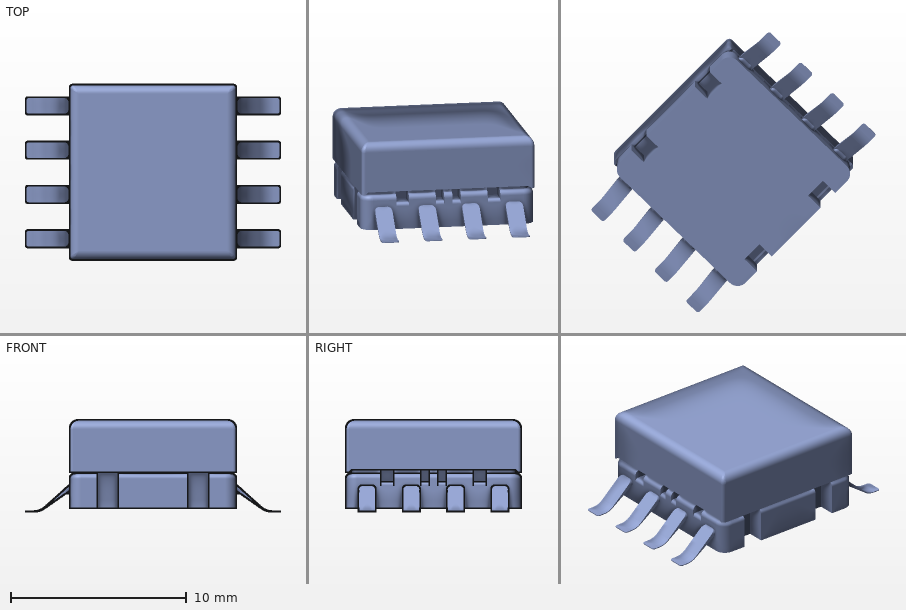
import cadquery as cq
import math

body_x = 9.5
body_y = 10.0

cap_top = 5.25
cap_bottom = 2.25
cap_top_radius = 0.52
cap_corner_radius = 0.2
cap_relief_top = 2.4
cap_relief_half_y = 4.65

base_bottom = 0.2
base_top = 2.2
base_corner_radius = 0.63
base_edge_radius = 0.3

recess_width = 1.2
recess_depth = 1.0
recess_center_x = 2.58

notches = [(0.48, 0.48), (2.64, 0.73)]
notch_floor = 1.73
notch_depth = 1.0
notch_lip_radius = 0.2

lead_count = 4
lead_pitch = 2.52
lead_width = 1.0
lead_tip_x = 7.25
lead_bend_x = 6.8
foot_thickness = 0.05
foot_corner_radius = 0.15
upper_bend_radius = 1.0
upper_angle = math.radians(42)
lower_bend_radius = 1.1
lower_angle = math.radians(35)
root_bottom = 1.03
root_top = 1.53
root_radius = (root_top - root_bottom) / 2

half_x = body_x / 2
half_y = body_y / 2


def block(x0, x1, y0, y1, z0, z1):
    """Axis-aligned box between two opposite corners."""
    return cq.Workplane("XY").box(x1 - x0, y1 - y0, z1 - z0, centered=False).translate((x0, y0, z0))


def both_x(shape):
    """A shape together with its mirror image on the other lead side."""
    return shape.union(shape.mirror("YZ"))


def make_cap():
    """Rounded cap whose underside is relieved along the lead sides."""
    cap = block(-half_x, half_x, -half_y, half_y, cap_bottom, cap_top)
    cap = cap.faces(">Z").edges().fillet(cap_top_radius)
    cap = cap.edges("|Z").fillet(cap_corner_radius)

    relief_foot_half_y = cap_relief_half_y + cap_relief_top - cap_bottom
    relief = (
        cq.Workplane("YZ")
        .polyline([
            (-relief_foot_half_y, cap_bottom),
            (relief_foot_half_y, cap_bottom),
            (cap_relief_half_y, cap_relief_top),
            (-cap_relief_half_y, cap_relief_top),
        ])
        .close()
        .extrude(half_x, both=True)
    )
    return cap.cut(relief)


def make_base():
    """Rounded base with a plain core that reaches up into the cap."""
    base = (
        cq.Workplane("XY", origin=(0, 0, base_bottom))
        .rect(body_x, body_y)
        .extrude(base_top - base_bottom)
        .edges("|Z")
        .fillet(base_corner_radius)
        .faces(">Z")
        .edges()
        .fillet(base_edge_radius)
    )
    core = (
        cq.Workplane("XY", origin=(0, 0, base_bottom))
        .rect(body_x - 2 * base_edge_radius, body_y - 2 * base_edge_radius)
        .extrude(cap_relief_top - base_bottom)
        .edges("|Z")
        .fillet(base_corner_radius - base_edge_radius)
    )
    return base.union(core)


def cut_recesses(base):
    """Cut two full-height recesses into each side without leads."""
    for center_x in (-recess_center_x, recess_center_x):
        x0 = center_x - recess_width / 2
        x1 = center_x + recess_width / 2
        base = base.cut(block(x0, x1, -half_y, recess_depth - half_y, base_bottom, cap_bottom))
        base = base.cut(block(x0, x1, half_y - recess_depth, half_y, base_bottom, cap_bottom))
    return base


def make_notch(center_y, width):
    """Cutter for a wire notch whose floor rolls over the outer face."""
    inner_x = half_x - notch_depth
    lip_x = half_x - notch_lip_radius
    lip_bottom = notch_floor - notch_lip_radius
    lip_mid_x = lip_x + notch_lip_radius * math.sin(math.pi / 4)
    lip_mid_z = lip_bottom + notch_lip_radius * math.cos(math.pi / 4)
    return (
        cq.Workplane("XZ", origin=(0, center_y + width / 2, 0))
        .moveTo(inner_x, notch_floor)
        .lineTo(lip_x, notch_floor)
        .threePointArc((lip_mid_x, lip_mid_z), (half_x, lip_bottom))
        .lineTo(half_x, cap_relief_top)
        .lineTo(inner_x, cap_relief_top)
        .close()
        .extrude(width)
    )


def cut_notches(base):
    """Cut the wire notches, symmetric about the centre of both lead sides."""
    for offset_y, width in notches:
        for center_y in (-offset_y, offset_y):
            base = base.cut(both_x(make_notch(center_y, width)))
    return base


def bend(start_z, radius, angle):
    """Middle and end points of an upward bend that starts at lead_bend_x."""
    points = []
    for turn in (angle / 2, angle):
        x = lead_bend_x - radius * math.sin(turn)
        z = start_z + radius * (1 - math.cos(turn))
        points.append((x, z))
    return points


def make_lead():
    """Gull-wing lead, thickening towards its rounded root, centred on y = 0."""
    upper_mid, upper_end = bend(foot_thickness, upper_bend_radius, upper_angle)
    lower_mid, lower_end = bend(0, lower_bend_radius, lower_angle)
    root_mid = root_bottom + root_radius

    def upper_slope_x(z):
        return upper_end[0] - (z - upper_end[1]) / math.tan(upper_angle)

    def lower_slope_x(z):
        return lower_end[0] - (z - lower_end[1]) / math.tan(lower_angle)

    side_plane = cq.Workplane("XZ", origin=(0, lead_width / 2, 0))
    lower_slope_top = lower_end[1] + (lower_end[0] - half_x) * math.tan(lower_angle)
    blade = (
        side_plane
        .moveTo(lead_tip_x, 0)
        .lineTo(lead_bend_x, 0)
        .threePointArc(lower_mid, lower_end)
        .lineTo(half_x, lower_slope_top)
        .lineTo(half_x, root_mid)
        .lineTo(upper_slope_x(root_mid), root_mid)
        .lineTo(*upper_end)
        .threePointArc(upper_mid, (lead_bend_x, foot_thickness))
        .lineTo(lead_tip_x, foot_thickness)
        .close()
        .extrude(lead_width)
        .edges("|Z and >X")
        .fillet(foot_corner_radius)
    )

    root_side = (
        side_plane
        .polyline([
            (half_x, root_bottom),
            (lower_slope_x(root_bottom), root_bottom),
            (upper_slope_x(root_mid), root_mid),
            (upper_slope_x(root_top), root_top),
            (half_x, root_top),
        ])
        .close()
        .extrude(lead_width)
    )
    root_section = (
        cq.Workplane("YZ", origin=(half_x, 0, root_mid))
        .slot2D(lead_width, 2 * root_radius)
        .extrude(lead_tip_x - half_x)
    )
    return blade.union(root_side.intersect(root_section))


def make_part():
    part = cut_notches(cut_recesses(make_base())).union(make_cap())
    leads = both_x(make_lead())
    first_y = -lead_pitch * (lead_count - 1) / 2
    for index in range(lead_count):
        part = part.union(leads.translate((0, first_y + index * lead_pitch, 0)))
    return part


result = make_part()